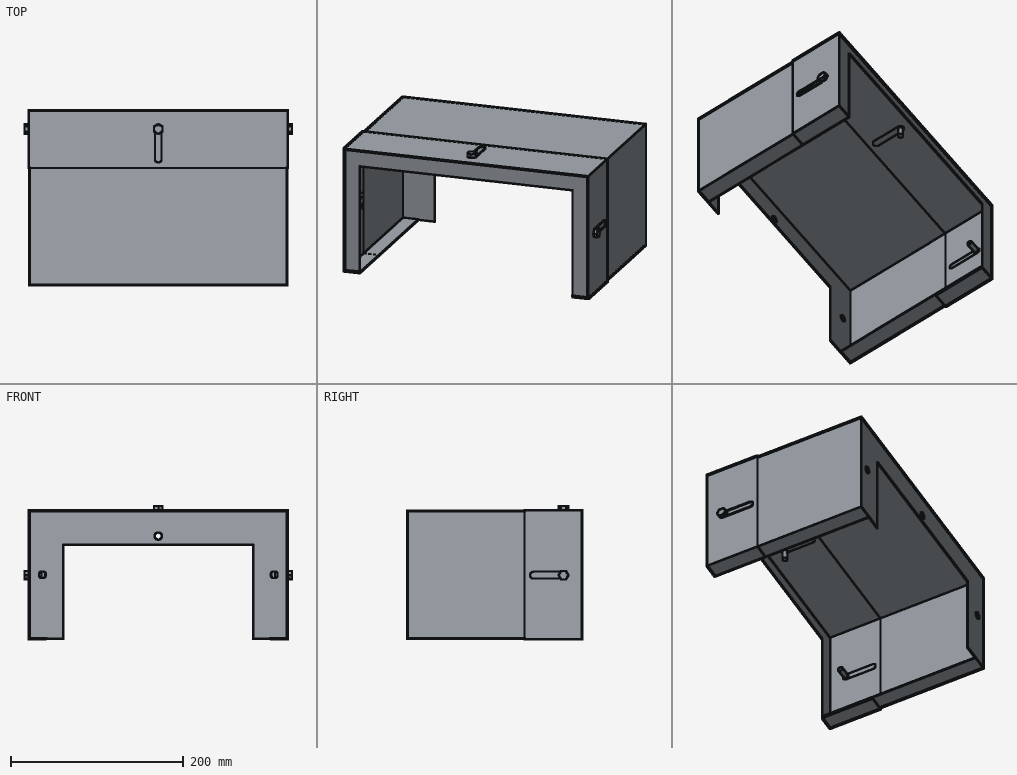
import cadquery as cq
import math

total_width = 311.0
total_depth = 204.0
total_height = 155.5
sheet = 1.0
lip_width = 20.0

sleeve_width = 302.0
sleeve_length = 67.2
slot_width = 8.0
slot_travel = 34.8

head_height = (total_width - sleeve_width) / 2
head_across_flats = 10.0
head_across_corners = head_across_flats / math.cos(math.pi / 6)
shank_diameter = 6.0
shank_length = 15.5
side_bolt_height = 75.0
bolt_setback = 22.0

frame_width = 39.8
mount_hole_diameter = 8.0
leg_hole_inset = 15.2
bar_hole_drop = 29.5

sleeve_height = total_height - head_height
cover_width = sleeve_width - 2 * sheet
cover_height = sleeve_height - 2 * sheet
rear_inner_face = total_depth - sheet
cover_length = rear_inner_face
cover_top = sheet + cover_height
sleeve_front = total_depth - sleeve_length
bolt_y = total_depth - bolt_setback
leg_hole_height = sleeve_height / 2

bolt_seats = [
    (cq.Vector(0, bolt_y, sleeve_height), cq.Vector(0, 0, 1)),
    (cq.Vector(-sleeve_width / 2, bolt_y, side_bolt_height), cq.Vector(-1, 0, 0)),
    (cq.Vector(sleeve_width / 2, bolt_y, side_bolt_height), cq.Vector(1, 0, 0)),
]


def block(width, y_start, y_end, z_start, z_end):
    """Box centred on X between the given Y and Z limits."""
    corner = cq.Vector(-width / 2, y_start, z_start)
    return cq.Workplane(cq.Solid.makeBox(width, y_end - y_start, z_end - z_start, corner))


def channel(width, height, y_start, y_end, z_base):
    """Sheet metal channel along Y with a lipped gap in its floor."""
    z_top = z_base + height
    shell = block(width, y_start, y_end, z_base, z_top)
    inside = block(width - 2 * sheet, y_start, y_end, z_base + sheet, z_top - sheet)
    floor_gap = block(width - 2 * lip_width, y_start, y_end, z_base, z_base + sheet)
    return shell.cut(inside).cut(floor_gap)


def seat_plane(seat, outward):
    """Plane on the sleeve surface with its local X along global Y."""
    return cq.Plane(origin=seat, xDir=(0, 1, 0), normal=outward)


def shank(seat, outward):
    """Cylinder that fills the bolt hole, running inward from the head seat."""
    return cq.Workplane(seat_plane(seat, outward)).circle(shank_diameter / 2).extrude(-shank_length)


def make_cover():
    """Channel closed at the front by a frame, with mounting holes and bolt holes."""
    cover = channel(cover_width, cover_height, 0, cover_length, sheet)
    front_plate = block(cover_width, 0, sheet, sheet, cover_top)
    opening = block(cover_width - 2 * frame_width, 0, sheet, sheet, cover_top - frame_width)
    cover = cover.union(front_plate.cut(opening))

    leg_hole_x = cover_width / 2 - leg_hole_inset
    hole_places = [
        (-leg_hole_x, leg_hole_height),
        (0, cover_top - bar_hole_drop),
        (leg_hole_x, leg_hole_height),
    ]
    holes = (
        cq.Workplane("XZ")
        .pushPoints(hole_places)
        .circle(mount_hole_diameter / 2)
        .extrude(-sheet)
    )
    cover = cover.cut(holes)

    for seat, outward in bolt_seats:
        cover = cover.cut(shank(seat, outward))
    return cover


def make_sleeve():
    """Channel with a rear return and a slot below each bolt head."""
    sleeve = channel(sleeve_width, sleeve_height, sleeve_front, total_depth, 0)
    rear_plate = block(sleeve_width, rear_inner_face, total_depth, 0, sleeve_height)
    rear_opening = block(
        sleeve_width - 2 * lip_width, rear_inner_face, total_depth, 0, sleeve_height - lip_width
    )
    sleeve = sleeve.union(rear_plate.cut(rear_opening))

    for seat, outward in bolt_seats:
        slot = (
            cq.Workplane(seat_plane(seat, outward))
            .center(-slot_travel / 2, 0)
            .slot2D(slot_travel + slot_width, slot_width)
            .extrude(-sheet)
        )
        sleeve = sleeve.cut(slot)
    return sleeve


def make_bolt(seat, outward):
    """Hexagon head on the sleeve surface with a plain shank."""
    head = (
        cq.Workplane(seat_plane(seat, outward))
        .polygon(6, head_across_corners)
        .extrude(head_height)
    )
    return head.union(shank(seat, outward))


cover = make_cover()
sleeve = make_sleeve()
bolts = [make_bolt(seat, outward) for seat, outward in bolt_seats]

result = cq.Compound.makeCompound(
    [cover.val(), sleeve.val(), *[bolt.val() for bolt in bolts]]
)